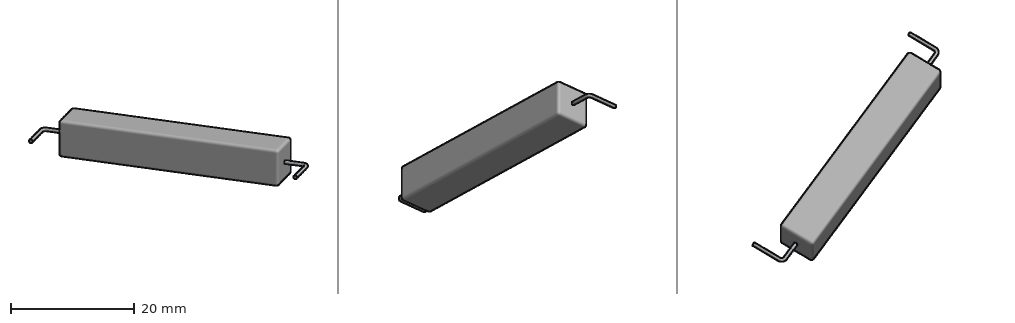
import cadquery as cq

overall_length = 46.35
body_length = 38.02
body_width = 6.4
edge_radius = 0.5
lead_diameter = 0.65
bend_radius = 0.7
lead_drop = 5.7

body_end = body_length / 2
leg_x = (overall_length - lead_diameter) / 2
bend_start_x = leg_x - bend_radius


def make_body():
    """Square bar centred on the origin, with every edge rounded."""
    return cq.Workplane("XY").box(body_length, body_width, body_width).edges().fillet(edge_radius)


def make_lead():
    """Round wire leaving the +X end on the body axis and bending toward -Y."""
    exit_run = bend_start_x - body_end
    leg_length = lead_drop - bend_radius
    wire_section = cq.Workplane("YZ", origin=(body_end, 0, 0)).circle(lead_diameter / 2)
    straight = wire_section.extrude(exit_run)
    bend = (
        cq.Workplane("YZ", origin=(bend_start_x, 0, 0))
        .circle(lead_diameter / 2)
        .revolve(90, (-bend_radius, 0, 0), (-bend_radius, -1, 0))
    )
    leg = (
        cq.Workplane("XZ", origin=(leg_x, -bend_radius, 0))
        .circle(lead_diameter / 2)
        .extrude(leg_length)
    )
    return straight.union(bend).union(leg)


right_lead = make_lead()
left_lead = right_lead.mirror("YZ")
result = make_body().union(right_lead).union(left_lead)